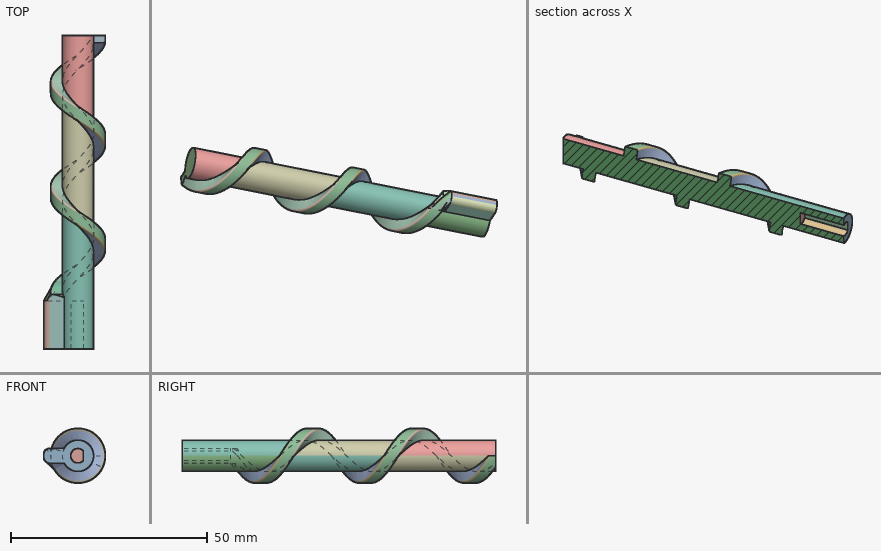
import cadquery as cq
import math

SHAFT_LENGTH = 80.0
SHAFT_RADIUS = 4.0

RIB_RADIUS = 7.0
RIB_WIDTH = 3.75
RIB_EDGE_RADIUS = 0.5
TURNS_PER_SHAFT = 3
RIB_TURNS = 2.5
RIB_OVERLAP = 0.8
RIB_ROOT_RADIUS = SHAFT_RADIUS - RIB_OVERLAP
PITCH = SHAFT_LENGTH / TURNS_PER_SHAFT
RIB_START_Y = SHAFT_LENGTH - RIB_TURNS * PITCH
RIB_START_ANGLE = 180.0

KEY_REACH = 8.75
KEY_WIDTH = RIB_WIDTH
KEY_EDGE_RADIUS = 1.5
KEY_LENGTH = 12.3

RUNOUT_START_REACH = 8.0
RUNOUT_END_Y = 14.0
LEAD_IN_TURN = 0.125

BLEND_ANGLE = 30.0

BORE_RADIUS = 1.85
BORE_FLAT_X = 1.4
BORE_DEPTH = KEY_LENGTH


def xz_plane(y):
    """Plane across the shaft at height y, with local axes +X and +Z (normal -Y)."""
    return cq.Workplane("XZ", origin=(0, y, 0))


def helical_rib(crest_radius, edge_radius, start_turn, end_turn):
    """Rectangular rib swept along the helix; turns are counted from the rib start."""
    turns = end_turn - start_turn
    path = cq.Wire.makeHelix(PITCH, turns * PITCH, SHAFT_RADIUS, lefthand=True)
    height = crest_radius - RIB_ROOT_RADIUS
    profile = cq.Sketch().rect(height, RIB_WIDTH)
    if edge_radius > 0:
        profile = profile.vertices(">X").fillet(edge_radius)
    middle_radius = RIB_ROOT_RADIUS + height / 2
    rib = (
        cq.Workplane("XZ", origin=(middle_radius, 0, 0))
        .placeSketch(profile)
        .sweep(cq.Workplane(obj=path), isFrenet=True)
    )
    start_angle = RIB_START_ANGLE + 360 * start_turn
    return (
        rib.rotate((0, 0, 0), (0, 0, 1), -start_angle)
        .rotate((0, 0, 0), (1, 0, 0), -90)
        .translate((0, RIB_START_Y + start_turn * PITCH, 0))
    )


def key_bar(length):
    """Key with rounded outer edges, reaching from the shaft axis to -X."""
    return (
        cq.Workplane("XY")
        .box(KEY_REACH, length, KEY_WIDTH, centered=(False, False, True))
        .translate((-KEY_REACH, 0, 0))
        .edges("<X and |Y")
        .fillet(KEY_EDGE_RADIUS)
    )


def key_runout():
    """Run-out of the key, bounded by the rib flanks and a sloped end."""
    under_slope = (
        cq.Workplane("XY", origin=(0, 0, -KEY_WIDTH))
        .moveTo(0, 0)
        .lineTo(-RUNOUT_START_REACH, 0)
        .lineTo(-RUNOUT_START_REACH, KEY_LENGTH)
        .lineTo(-RIB_RADIUS, RUNOUT_END_Y)
        .lineTo(0, RUNOUT_END_Y)
        .close()
        .extrude(2 * KEY_WIDTH)
    )
    tall_rib = helical_rib(KEY_REACH + RIB_OVERLAP, 0, -LEAD_IN_TURN, LEAD_IN_TURN)
    return key_bar(RUNOUT_END_Y).intersect(under_slope).intersect(tall_rib)


def rounded_bar(plane, reach, edge_radius):
    """Wire of a bar as wide as the rib, rounded at its outer corners, in a radial plane."""
    half = RIB_WIDTH / 2
    corner_inset = edge_radius * (1 - math.sqrt(0.5))
    return (
        cq.Workplane(plane)
        .moveTo(RIB_ROOT_RADIUS, -half)
        .lineTo(reach - edge_radius, -half)
        .threePointArc((reach - corner_inset, corner_inset - half), (reach, edge_radius - half))
        .lineTo(reach, half - edge_radius)
        .threePointArc((reach - corner_inset, half - corner_inset), (reach - edge_radius, half))
        .lineTo(RIB_ROOT_RADIUS, half)
        .close()
        .wire()
        .val()
    )


def key_blend():
    """Ruled loft that turns the key section into the rib section."""
    key_plane = cq.Plane(origin=(0, KEY_LENGTH, 0), xDir=(-1, 0, 0), normal=(0, 1, 0))
    angle = math.radians(RIB_START_ANGLE + BLEND_ANGLE)
    rib_plane = cq.Plane(
        origin=(0, RIB_START_Y + PITCH * BLEND_ANGLE / 360, 0),
        xDir=(math.cos(angle), 0, math.sin(angle)),
        normal=(-math.sin(angle), 0, math.cos(angle)),
    )
    sections = [
        rounded_bar(key_plane, KEY_REACH, KEY_EDGE_RADIUS),
        rounded_bar(rib_plane, RIB_RADIUS, RIB_EDGE_RADIUS),
    ]
    return cq.Workplane(obj=cq.Solid.makeLoft(sections, ruled=True))


def bore():
    """D-shaped pocket with its flat on the +X side."""
    round_part = xz_plane(0).circle(BORE_RADIUS).extrude(-BORE_DEPTH)
    width = BORE_RADIUS + BORE_FLAT_X
    flat_limit = (
        xz_plane(0)
        .center(BORE_FLAT_X - width / 2, 0)
        .rect(width, 2 * BORE_RADIUS)
        .extrude(-BORE_DEPTH)
    )
    return round_part.intersect(flat_limit)


def trimmed_rib():
    """Rib with its start cut level with the key and its end flush with the shaft."""
    past_end = xz_plane(SHAFT_LENGTH).circle(KEY_REACH).extrude(-RIB_WIDTH)
    above_key = (
        cq.Workplane("XY", origin=(-RIB_RADIUS, 0, KEY_WIDTH / 2))
        .box(2 * RIB_RADIUS, RIB_START_Y + RIB_WIDTH, RIB_RADIUS, centered=(True, False, False))
    )
    rib = helical_rib(RIB_RADIUS, RIB_EDGE_RADIUS, -LEAD_IN_TURN, RIB_TURNS)
    return rib.cut(past_end).cut(above_key)


shaft = xz_plane(0).circle(SHAFT_RADIUS).extrude(-SHAFT_LENGTH)
key = key_bar(KEY_LENGTH).union(key_runout()).union(key_blend())
result = shaft.union(trimmed_rib()).union(key).cut(bore())